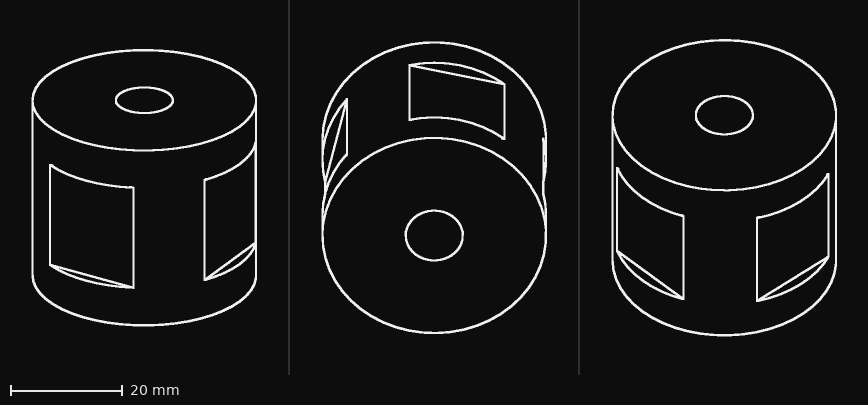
import cadquery as cq

body_diameter = 40.0
body_height = 35.0
bore_diameter = 10.2

flat_count = 4
across_flats = 36.0
flat_height = 20.0
flat_depth = (body_diameter - across_flats) / 2
flat_bottom = (body_height - flat_height) / 2


def flat_cutter(angle):
    """Block that removes one flat, turned about the Z axis by the given angle."""
    block = cq.Workplane("XY").box(
        flat_depth, body_diameter, flat_height, centered=(False, True, False)
    )
    placed = block.translate((across_flats / 2, 0, flat_bottom))
    return placed.rotate((0, 0, 0), (0, 0, 1), angle)


result = cq.Workplane("XY").circle(body_diameter / 2).circle(bore_diameter / 2).extrude(body_height)

for index in range(flat_count):
    result = result.cut(flat_cutter(index * 360 / flat_count))